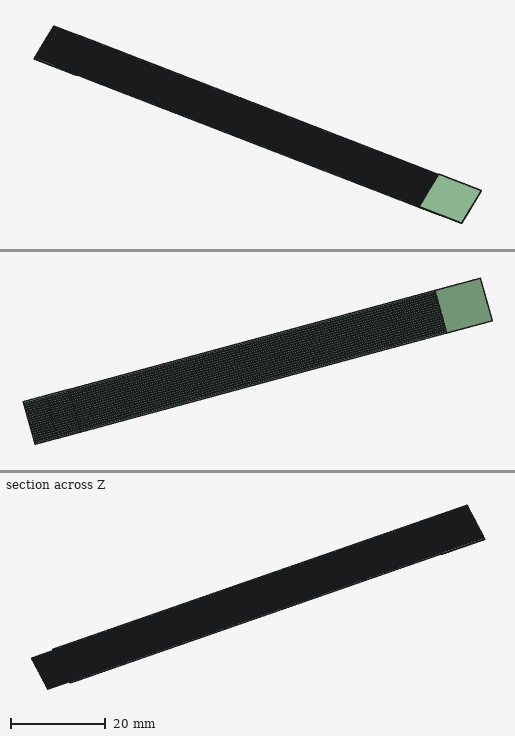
import cadquery as cq


length = 100.0
width = 9.5
thickness = 0.59

film_thickness = 0.045
conductor_thickness = 0.05
stiffener_thickness = (thickness - 2 * film_thickness - conductor_thickness) / 2

stiffener_length = 10.0
contact_length = 5.0

pitch = 0.5
conductor_width = 0.3
conductor_count = round(width / pitch) - 1

film_bottom = stiffener_thickness
conductor_bottom = film_bottom + film_thickness
conductor_top = conductor_bottom + conductor_thickness
film_top = conductor_top + film_thickness


def layer(x_start, x_end, z_bottom, z_top, y_center=0.0, y_width=width):
    """Flat rectangular layer, centred on y_center across the strip."""
    return (
        cq.Workplane("XY")
        .box(x_end - x_start, y_width, z_top - z_bottom, centered=(False, True, False))
        .translate((x_start, y_center, z_bottom))
    )


lower_film = layer(0, length - contact_length, film_bottom, conductor_bottom)
upper_film = layer(contact_length, length, conductor_top, film_top)

lower_stiffener = layer(0, stiffener_length, 0, film_bottom)
upper_stiffener = layer(length - stiffener_length, length, film_top, thickness)

result = lower_film.union(lower_stiffener)

for index in range(conductor_count):
    y_center = (index - (conductor_count - 1) / 2) * pitch
    conductor = layer(0, length, conductor_bottom, conductor_top, y_center, conductor_width)
    result = result.union(conductor)

result = result.union(upper_film).union(upper_stiffener)